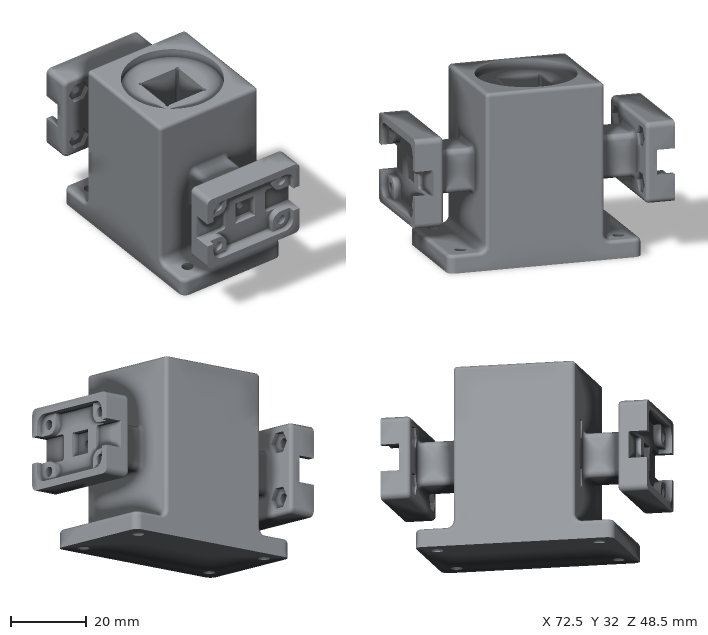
import cadquery as cq

body_width = 33.0
body_depth = 32.0
body_height = 48.5
base_length = 54.0
base_thickness = 5.0
root_radius = 2.0
base_corner_radius = 2.0
edge_radius = 1.0
base_hole_diameter = 3.2
base_hole_spacing_x = 44.0
base_hole_spacing_y = 22.0

rim_diameter = 27.27
rim_depth = 2.5
well_size = 12.5
well_floor_z = base_thickness
relief_diameter = 1.0
relief_inset = 0.2

axis_z = 25.0
bore_diameter = 2.0
neck_size = 12.0
neck_edge_radius = 1.5
neck_root_radius = 1.0
plate_width = 30.0
plate_thickness = 8.0
plate_corner_radius = 1.5
plate_wall = 2.0
left_neck_length = 11.5
left_plate_height = 24.5
right_neck_length = 12.0
right_plate_height = 22.2

recess_depth = 3.7
boss_size = 5.5
boss_drop = 1.7
screw_hole_diameter = 2.7
nut_across_flats = 5.5
nut_depth = 1.5
notch_height = 7.2
notch_inner_y = 6.5
notch_extra_depth = 1.35
notch_corner_radius = 0.8
window_size = 6.5
window_extra_depth = 2.5

slot_outer_y = 9.5
slot_width = 2.0
slot_height = 5.0
slot_depth = 3.0
slot_offset_z = 6.5

hex_corner_ratio = 2 / 3 ** 0.5


def make_body():
    """Block on a flanged base, with a rounded root and rounded outer edges."""
    half_body = body_width / 2
    half_base = base_length / 2
    body = (
        cq.Workplane("XZ")
        .moveTo(-half_base, 0)
        .lineTo(half_base, 0)
        .lineTo(half_base, base_thickness)
        .lineTo(half_body + root_radius, base_thickness)
        .radiusArc((half_body, base_thickness + root_radius), root_radius)
        .lineTo(half_body, body_height)
        .lineTo(-half_body, body_height)
        .lineTo(-half_body, base_thickness + root_radius)
        .radiusArc((-half_body - root_radius, base_thickness), root_radius)
        .lineTo(-half_base, base_thickness)
        .close()
        .extrude(body_depth / 2, both=True)
    )
    body = body.edges("|Z and (<X or >X)").fillet(base_corner_radius)

    above_base_middle = cq.selectors.BoxSelector(
        (-base_length, -body_depth, base_thickness / 2 + edge_radius),
        (base_length, body_depth, body_height + edge_radius),
    )
    root_seams = cq.selectors.BoxSelector(
        (-half_body - root_radius - edge_radius, -edge_radius, base_thickness - edge_radius),
        (half_body + root_radius + edge_radius, edge_radius, base_thickness + root_radius + edge_radius),
    )
    return body.edges(above_base_middle - root_seams).fillet(edge_radius)


def box_x(x_start, x_end, size_y, size_z, y=0.0, z=0.0):
    """Box between two X positions, centred on (y, z) in its cross-section."""
    middle = ((x_start + x_end) / 2, y, z)
    return cq.Workplane("XY").box(abs(x_end - x_start), size_y, size_z).translate(middle)


def pin_x(x_start, x_end, diameter, points):
    """Cylinders along X between two positions, at the given (y, z) points."""
    return (
        cq.Workplane("YZ", origin=(x_start, 0, 0))
        .pushPoints(points)
        .circle(diameter / 2)
        .extrude(x_end - x_start)
    )


def make_plate_bosses(recess_width, recess_height, x_start, x_end):
    """Four corner screw bosses, each rounded towards the plate centre."""
    half_y = recess_width / 2
    half_z = recess_height / 2
    bosses = cq.Workplane("YZ")
    for side_y in (-1, 1):
        for side_z in (-1, 1):
            boss = box_x(
                x_start,
                x_end,
                boss_size,
                boss_size,
                side_y * (half_y - boss_size / 2),
                side_z * (half_z - boss_size / 2),
            )
            inner_edge = "{}Y and {}Z".format("<" if side_y > 0 else ">", "<" if side_z > 0 else ">")
            boss = boss.edges("|X").edges(inner_edge).fillet(boss_size / 2)
            bosses = bosses.add(boss)
    return bosses.combine()


def make_arm(neck_length, plate_height):
    """Arm pointing along +X from the body face at x = 0, centred on the X axis."""
    plate_back = neck_length
    plate_face = neck_length + plate_thickness
    recess_floor = plate_face - recess_depth
    recess_width = plate_width - 2 * plate_wall
    recess_height = plate_height - 2 * plate_wall
    hole_y = recess_width / 2 - boss_size / 2
    hole_z = recess_height / 2 - boss_size / 2
    hole_points = [(sy * hole_y, sz * hole_z) for sy in (-1, 1) for sz in (-1, 1)]

    plate = box_x(plate_back, plate_face, plate_width, plate_height)
    plate = plate.edges("|X").fillet(plate_corner_radius)
    plate = plate.faces("<X").edges().fillet(edge_radius)

    recess = box_x(recess_floor, plate_face, recess_width, recess_height)
    recess = recess.edges("|X").fillet(boss_size / 2)
    bosses = make_plate_bosses(recess_width, recess_height, recess_floor, plate_face - boss_drop)
    plate = plate.cut(recess.cut(bosses))

    notch_floor = recess_floor - notch_extra_depth
    notch_length = plate_width / 2 - notch_inner_y
    for side in (-1, 1):
        notch_y = side * (notch_inner_y + notch_length / 2)
        notch = box_x(notch_floor, plate_face, notch_length, notch_height, notch_y)
        inner_side = "<Y" if side > 0 else ">Y"
        notch = notch.edges("|X").edges(inner_side).fillet(notch_corner_radius)
        plate = plate.cut(notch)

    plate = plate.cut(box_x(recess_floor - window_extra_depth, plate_face, window_size, window_size))
    plate = plate.cut(pin_x(plate_back, plate_face, screw_hole_diameter, hole_points))
    nuts = (
        cq.Workplane("YZ", origin=(plate_back, 0, 0))
        .pushPoints(hole_points)
        .polygon(6, nut_across_flats * hex_corner_ratio)
        .extrude(nut_depth)
    )
    plate = plate.cut(nuts)

    neck = box_x(0, neck_length, neck_size, neck_size).edges("|X").fillet(neck_edge_radius)
    return plate.union(neck)


def add_arms(body):
    """Join the two arms to the body and round the neck roots."""
    left_arm = make_arm(left_neck_length, left_plate_height).mirror("YZ")
    right_arm = make_arm(right_neck_length, right_plate_height)
    part = body.union(left_arm.translate((-body_width / 2, 0, axis_z)))
    part = part.union(right_arm.translate((body_width / 2, 0, axis_z)))

    selection_margin = 0.1
    half_reach = neck_size / 2 + selection_margin
    half_body = body_width / 2
    root_planes = (
        -half_body - left_neck_length,
        -half_body,
        half_body,
        half_body + right_neck_length,
    )
    for x in root_planes:
        root_edges = cq.selectors.BoxSelector(
            (x - selection_margin, -half_reach, axis_z - half_reach),
            (x + selection_margin, half_reach, axis_z + half_reach),
            boundingbox=True,
        )
        part = part.edges(root_edges).fillet(neck_root_radius)
    return part


def cut_base_holes(part):
    holes = (
        cq.Workplane("XY")
        .rect(base_hole_spacing_x, base_hole_spacing_y, forConstruction=True)
        .vertices()
        .circle(base_hole_diameter / 2)
        .extrude(base_thickness)
    )
    return part.cut(holes)


def cut_well(part):
    """Round rim recess above a square well with relieved corners."""
    rim_floor_z = body_height - rim_depth
    well_depth = rim_floor_z - well_floor_z
    relief_spacing = well_size - 2 * relief_inset
    rim = cq.Workplane("XY", origin=(0, 0, rim_floor_z)).circle(rim_diameter / 2).extrude(rim_depth)
    floor_plane = cq.Workplane("XY", origin=(0, 0, well_floor_z))
    well = floor_plane.rect(well_size, well_size).extrude(well_depth)
    reliefs = (
        floor_plane.rect(relief_spacing, relief_spacing, forConstruction=True)
        .vertices()
        .circle(relief_diameter / 2)
        .extrude(well_depth)
    )
    return part.cut(rim).cut(well).cut(reliefs)


def cut_body_slots(part):
    face_x = -body_width / 2
    slot_y = slot_outer_y - slot_width / 2
    for side in (-1, 1):
        slot_z = axis_z + side * slot_offset_z
        part = part.cut(box_x(face_x, face_x + slot_depth, slot_width, slot_height, slot_y, slot_z))
    return part


def cut_bore(part):
    """Small bore along X through both arms and the body."""
    left_end = -body_width / 2 - left_neck_length - plate_thickness
    right_end = body_width / 2 + right_neck_length + plate_thickness
    return part.cut(pin_x(left_end, right_end, bore_diameter, [(0, axis_z)]))


part = add_arms(make_body())
part = cut_base_holes(part)
part = cut_well(part)
part = cut_body_slots(part)
result = cut_bore(part)